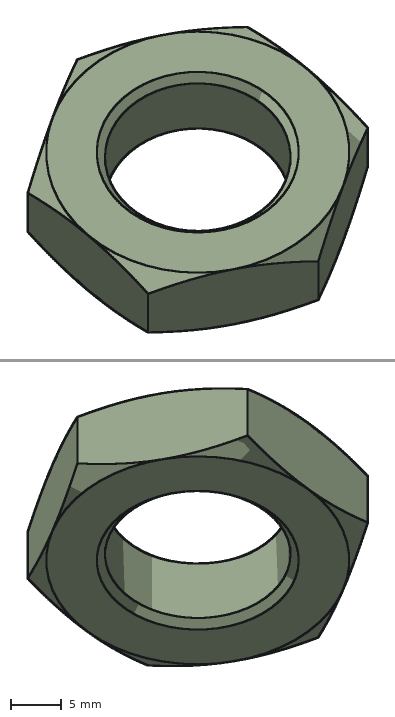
import cadquery as cq
import math

across_corners = 34.65
across_flats = across_corners * math.cos(math.radians(30))
height = 9.0
bore_diameter = 18.35
countersink_diameter = 20.0
corner_chamfer_angle = 30.0

half_height = height / 2
corner_radius = across_corners / 2
face_radius = across_flats / 2
bore_radius = bore_diameter / 2
countersink_radius = countersink_diameter / 2
countersink_depth = countersink_radius - bore_radius
corner_drop = (corner_radius - face_radius) * math.tan(math.radians(corner_chamfer_angle))

hexagon = (
    cq.Workplane("XY")
    .polygon(6, across_corners)
    .extrude(height)
    .translate((0, 0, -half_height))
)

envelope = (
    cq.Workplane("XZ")
    .moveTo(countersink_radius, half_height)
    .lineTo(face_radius, half_height)
    .lineTo(corner_radius, half_height - corner_drop)
    .lineTo(corner_radius, corner_drop - half_height)
    .lineTo(face_radius, -half_height)
    .lineTo(countersink_radius, -half_height)
    .lineTo(bore_radius, countersink_depth - half_height)
    .lineTo(bore_radius, half_height - countersink_depth)
    .close()
    .revolve(360, (0, 0, 0), (0, 1, 0))
)

result = hexagon.intersect(envelope)